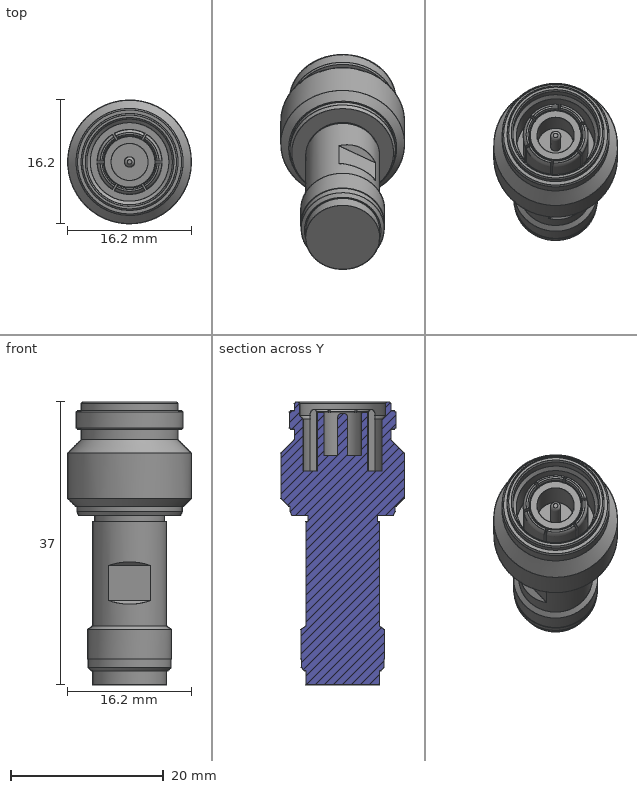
import cadquery as cq
import math


total_height = 37.0
coupling_radius = 8.1

barrel_radius = 4.84
collar_radius = 5.5
collar_lower_radius = 5.44
collar_bottom_radius = 5.0
collar_bottom_z = 1.83
collar_lower_z = 2.28
collar_step_z = 3.4
collar_shoulder_z = 7.25
collar_top_z = 7.72
barrel_top_z = 21.4
stem_radius = 4.57

nut_bottom_z = 22.13
nut_lip_z = 22.65
nut_lip_radius = 6.9
nut_lip_chamfer = 0.25
nut_cone_bottom_z = 23.35
nut_body_bottom_z = 24.38
nut_body_top_z = 30.3
neck_radius = 6.34
nut_cone_radius = coupling_radius - (nut_body_bottom_z - nut_cone_bottom_z)
nut_cone_top_z = nut_body_top_z + coupling_radius - neck_radius

ring_radius = 7.0
ring_bottom_z = 33.42
ring_top_z = 35.87
ring_chamfer = 0.2

rim_chamfer = 0.2
bore_radius = 5.6
bore_floor_radius = 5.14
bore_shoulder_z = total_height - 1.8
bore_cone_bottom_z = bore_shoulder_z - (bore_radius - bore_floor_radius)
socket_floor_z = 28.0

finger_outer_radius = 4.23
finger_tip_outer_radius = 3.85
finger_tip_inner_radius = 3.6
finger_inner_radius = 3.42
finger_tip_z = total_height - 0.98
finger_round_z = total_height - 1.85
finger_cone_bottom_z = total_height - 1.25
finger_slot_count = 6
finger_slot_width = 0.3

insulator_radius = 3.31
insulator_top_z = total_height - 1.33
insulator_hole_radius = 2.42
insulator_hole_floor_z = 30.0
pin_radius = 0.67
pin_tip_radius = 0.3
pin_tip_z = total_height - 1.5
pin_round_z = total_height - 2.1

flat_distance = 8.0
flat_bottom_z = 11.05
flat_top_z = 15.6
flat_end_angle = 30.0
cutter_overshoot = 1.0


def quarter_round_middle(outer_radius, low_z, inner_radius, high_z):
    """Middle point of an elliptical round between a vertical side and a flat end."""
    share = math.sqrt(0.5)
    mid_radius = inner_radius + (outer_radius - inner_radius) * share
    mid_z = low_z + (high_z - low_z) * share
    return (mid_radius, mid_z)


def revolve_outline(outline):
    return outline.close().revolve(360, (0, 0, 0), (0, 1, 0))


def make_outer_body():
    """Solid outside shape of barrel, collar, coupling nut and ring."""
    outline = (
        cq.Workplane("XZ")
        .moveTo(0, 0)
        .lineTo(barrel_radius, 0)
        .lineTo(barrel_radius, collar_bottom_z)
        .lineTo(collar_bottom_radius, collar_bottom_z)
        .lineTo(collar_lower_radius, collar_lower_z)
        .lineTo(collar_lower_radius, collar_step_z)
        .lineTo(collar_radius, collar_step_z)
        .lineTo(collar_radius, collar_shoulder_z)
        .lineTo(barrel_radius, collar_top_z)
        .lineTo(barrel_radius, barrel_top_z)
        .lineTo(stem_radius, barrel_top_z)
        .lineTo(stem_radius, nut_bottom_z)
        .lineTo(nut_lip_radius - nut_lip_chamfer, nut_bottom_z)
        .lineTo(nut_lip_radius, nut_lip_z)
        .lineTo(nut_lip_radius, nut_cone_bottom_z)
        .lineTo(nut_cone_radius, nut_cone_bottom_z)
        .lineTo(coupling_radius, nut_body_bottom_z)
        .lineTo(coupling_radius, nut_body_top_z)
        .lineTo(neck_radius, nut_cone_top_z)
        .lineTo(neck_radius, ring_bottom_z)
        .lineTo(ring_radius - ring_chamfer, ring_bottom_z)
        .lineTo(ring_radius, ring_bottom_z + ring_chamfer)
        .lineTo(ring_radius, ring_top_z - ring_chamfer)
        .lineTo(ring_radius - ring_chamfer, ring_top_z)
        .lineTo(neck_radius, ring_top_z)
        .lineTo(neck_radius, total_height - rim_chamfer)
        .lineTo(neck_radius - rim_chamfer, total_height)
        .lineTo(0, total_height)
    )
    return revolve_outline(outline)


def make_socket():
    """Stepped bore removed from the mating face."""
    outline = (
        cq.Workplane("XZ")
        .moveTo(0, socket_floor_z)
        .lineTo(bore_floor_radius, socket_floor_z)
        .lineTo(bore_floor_radius, bore_cone_bottom_z)
        .lineTo(bore_radius, bore_shoulder_z)
        .lineTo(bore_radius, total_height - rim_chamfer)
        .lineTo(bore_radius + rim_chamfer, total_height)
        .lineTo(0, total_height)
    )
    return revolve_outline(outline)


def make_fingers():
    """Ring of spring fingers with a rounded tip, split by radial slots."""
    round_middle = quarter_round_middle(
        finger_outer_radius, finger_round_z, finger_tip_outer_radius, finger_tip_z
    )
    outline = (
        cq.Workplane("XZ")
        .moveTo(finger_inner_radius, socket_floor_z)
        .lineTo(finger_outer_radius, socket_floor_z)
        .lineTo(finger_outer_radius, finger_round_z)
        .threePointArc(round_middle, (finger_tip_outer_radius, finger_tip_z))
        .lineTo(finger_tip_inner_radius, finger_tip_z)
        .lineTo(finger_inner_radius, finger_cone_bottom_z)
    )
    fingers = revolve_outline(outline)
    slot = cq.Workplane("XY").box(
        finger_outer_radius * 2,
        finger_slot_width,
        finger_tip_z - socket_floor_z,
        centered=(False, True, False),
    ).translate((0, 0, socket_floor_z))
    for index in range(finger_slot_count):
        angle = index * 360 / finger_slot_count
        fingers = fingers.cut(slot.rotate((0, 0, 0), (0, 0, 1), angle))
    return fingers


def make_insulator():
    """Insulating sleeve inside the finger ring, clear of the fingers, with a blind centre hole."""
    sleeve = (
        cq.Workplane("XY")
        .workplane(offset=socket_floor_z)
        .circle(insulator_radius)
        .extrude(insulator_top_z - socket_floor_z)
    )
    hole = (
        cq.Workplane("XY")
        .workplane(offset=insulator_hole_floor_z)
        .circle(insulator_hole_radius)
        .extrude(insulator_top_z - insulator_hole_floor_z)
    )
    return sleeve.cut(hole)


def make_pin():
    """Centre pin with a rounded, flat-ended tip."""
    round_middle = quarter_round_middle(pin_radius, pin_round_z, pin_tip_radius, pin_tip_z)
    outline = (
        cq.Workplane("XZ")
        .moveTo(0, insulator_hole_floor_z)
        .lineTo(pin_radius, insulator_hole_floor_z)
        .lineTo(pin_radius, pin_round_z)
        .threePointArc(round_middle, (pin_tip_radius, pin_tip_z))
        .lineTo(0, pin_tip_z)
    )
    return revolve_outline(outline)


def make_flat_cutter():
    """Trapezoid prism that cuts the wrench flat on the +Y side."""
    flat_y = flat_distance / 2
    outer_y = barrel_radius + cutter_overshoot
    flare = (outer_y - flat_y) * math.tan(math.radians(flat_end_angle))
    return (
        cq.Workplane("YZ")
        .moveTo(flat_y, flat_bottom_z)
        .lineTo(outer_y, flat_bottom_z - flare)
        .lineTo(outer_y, flat_top_z + flare)
        .lineTo(flat_y, flat_top_z)
        .close()
        .extrude(barrel_radius, both=True)
    )


body = make_outer_body().cut(make_socket())
flat_cutter = make_flat_cutter()
for angle in (0, 180):
    body = body.cut(flat_cutter.rotate((0, 0, 0), (0, 0, 1), angle))

result = body.union(make_fingers()).union(make_insulator()).union(make_pin())